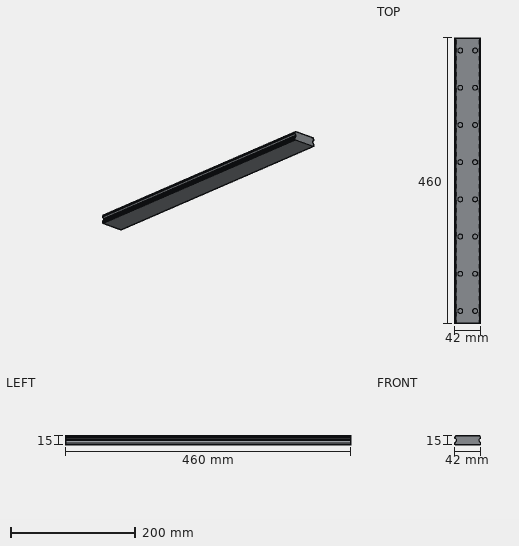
import cadquery as cq

rail_length = 460.0
rail_width = 42.0
rail_height = 15.0
half_width = rail_width / 2

base_chamfer = 1.15
foot_top = 3.0

neck_half_width = 18.5
neck_bottom = 7.0
neck_top = 8.7

lip_bottom = 11.0
lip_top = 12.5
track_sag = 0.25

top_half_width = 19.0
top_chamfer = 1.15

hole_diameter = 8.0
hole_depth = 0.5
hole_rows = 2
holes_per_row = 8
row_spacing = 24.0
hole_span = 420.0
hole_pitch = hole_span / (holes_per_row - 1)


def half_rail():
    """Half of the rail on the +X side of its middle plane."""
    track_edge = top_half_width + top_chamfer
    track_edge_height = rail_height - top_chamfer
    profile = (
        cq.Workplane("XZ")
        .moveTo(0, 0)
        .lineTo(half_width - base_chamfer, 0)
        .lineTo(half_width, base_chamfer)
        .lineTo(half_width, foot_top)
        .lineTo(neck_half_width, neck_bottom)
        .lineTo(neck_half_width, neck_top)
        .sagittaArc((half_width, lip_bottom), track_sag)
        .lineTo(half_width, lip_top)
        .sagittaArc((track_edge, track_edge_height), track_sag)
        .lineTo(top_half_width, rail_height)
        .lineTo(0, rail_height)
        .close()
    )
    return profile.extrude(rail_length / 2, both=True)


def rail_body():
    """Full rail, symmetric about the YZ plane."""
    right_half = half_rail()
    return right_half.union(right_half.mirror("YZ")).clean()


def mounting_holes():
    """Shallow round recesses in two rows along the top face."""
    return (
        cq.Workplane("XY", origin=(0, 0, rail_height))
        .rarray(row_spacing, hole_pitch, hole_rows, holes_per_row)
        .circle(hole_diameter / 2)
        .extrude(-hole_depth)
    )


result = rail_body().cut(mounting_holes())